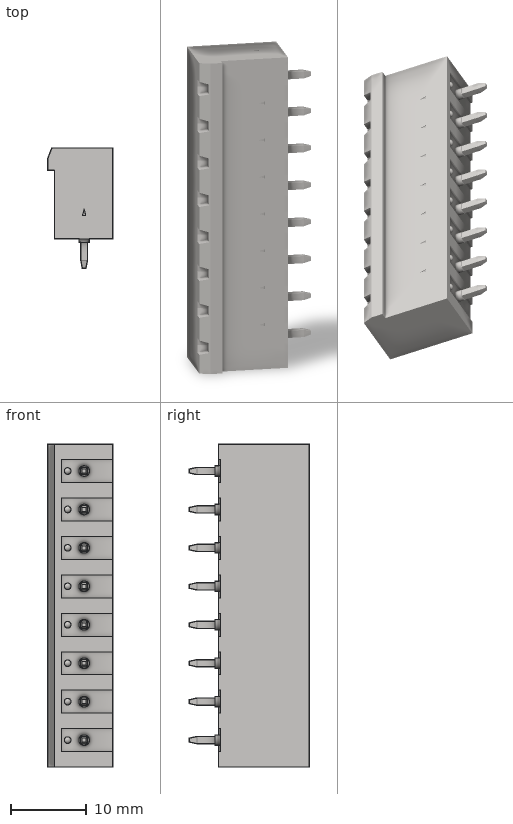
import cadquery as cq


length = 42.65
width = 8.6
depth = 12.02
lip_overhang = 0.9
lip_depth = 3.0
bevel_depth = 1.4
bevel_width = 0.55

pole_count = 8
pitch = 5.07

recess_left = 1.85
recess_height = 3.03
recess_depth = 0.3

pin_x = 4.8
pin_length = 3.9
pin_width = 0.9
pin_height = 1.0
tip_length = 1.02
tip_width = 0.5
collar_diameter = 1.4
collar_reach = 0.45

bump_x = 2.65
bump_radius = 0.45

notch_width = 1.95
notch_depth = 1.25
notch_taper = 14
notch_back = 1.8
notch_back_vee = 0.13
notch_clearance = 1.3

mark_base_y = 3.1
mark_height = 0.8
mark_base = 0.43
mark_depth = 0.1

pole_heights = [(i - (pole_count - 1) / 2) * pitch for i in range(pole_count)]


def make_housing():
    """Extrude the housing outline, with its bevelled lip on the -X side, along Z."""
    outline = [
        (lip_overhang, 0),
        (width, 0),
        (width, depth),
        (bevel_width, depth),
        (0, depth - bevel_depth),
        (0, depth - lip_depth),
        (lip_overhang, depth - lip_depth),
    ]
    return cq.Workplane("XY").polyline(outline).close().extrude(length / 2, both=True)


def make_recess(z):
    """Rectangular recess in the pin face."""
    bottom = z - recess_height / 2
    return cq.Workplane("XY").box(
        width - recess_left, recess_depth, recess_height, centered=False
    ).translate((recess_left, 0, bottom))


def make_notch(z):
    """Notch narrowing away from the rear face, its back wall folded into a shallow vee."""
    half_width = notch_width / 2
    outline = [
        (-notch_clearance, -half_width),
        (notch_back - notch_back_vee, -half_width),
        (notch_back, 0),
        (notch_back - notch_back_vee, half_width),
        (-notch_clearance, half_width),
    ]
    rear_face = cq.Workplane("XZ", origin=(0, depth, z))
    return rear_face.polyline(outline).close().extrude(notch_depth, taper=notch_taper)


def make_pin(z):
    """Collar and rectangular pin with a tapered tip, rooted on the recess floor."""
    root = cq.Workplane("XZ", origin=(pin_x, recess_depth, z))
    collar = root.circle(collar_diameter / 2).extrude(recess_depth + collar_reach)
    shank = root.rect(pin_width, pin_height).extrude(recess_depth + pin_length - tip_length)
    tip = (
        shank.faces("<Y").workplane()
        .rect(pin_width, pin_height)
        .workplane(offset=tip_length)
        .rect(tip_width, tip_width)
        .loft(combine=False)
    )
    return collar.union(shank).union(tip)


def make_bump(z):
    """Ball sunk into the recess floor, with its crown level with the pin face."""
    return cq.Workplane("XY").sphere(bump_radius).translate((bump_x, bump_radius, z))


def make_mark(plane):
    """Thin triangle pointing to +Y, cut into the face that the plane lies on."""
    corners = [(-mark_base / 2, mark_base_y), (mark_base / 2, mark_base_y), (0, mark_base_y + mark_height)]
    return cq.Workplane(plane).polyline(corners).close().extrude(-mark_depth)


result = make_housing()

for z in pole_heights:
    result = result.cut(make_recess(z)).cut(make_notch(z))

for z in pole_heights:
    result = result.union(make_pin(z)).union(make_bump(z))

end_face = cq.Plane(origin=(pin_x, 0, length / 2), xDir=(1, 0, 0), normal=(0, 0, 1))
result = result.cut(make_mark(end_face))
for z in pole_heights[:-1]:
    side_wall = cq.Plane(origin=(lip_overhang, 0, z + pitch / 2), xDir=(0, 0, 1), normal=(-1, 0, 0))
    result = result.cut(make_mark(side_wall))